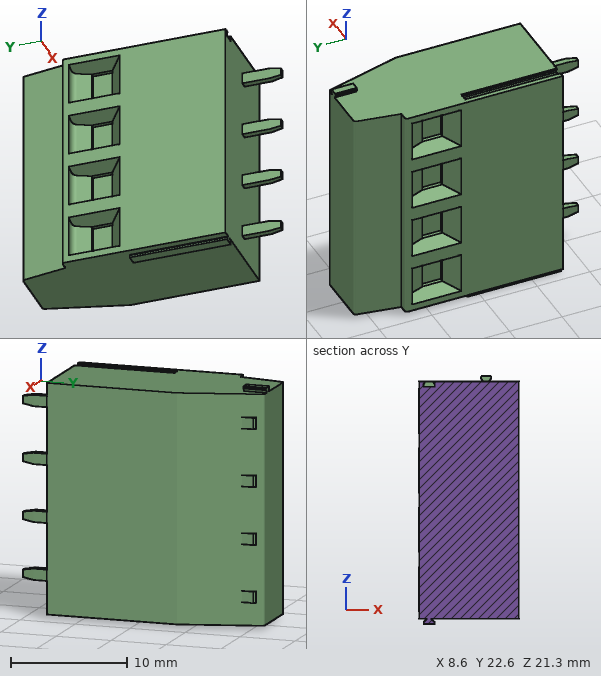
import cadquery as cq
import math


poles = 4
pitch = 5.1
housing_depth = 8.6
housing_length = 19.1
housing_height = poles * pitch
half_height = housing_height / 2

shoulder_y = 14.95
shoulder_depth = 0.87
neck_left_x = 1.55
neck_right_x = 6.65
slope_angle = 15.0
corner_radius = 0.25

pocket_start_y = 9.65
pocket_end_y = 14.32
pocket_height = 3.8
funnel_straight_depth = 0.55
funnel_corner_radius = 0.5
funnel_depth = 1.35
funnel_corner_reach = 0.365
funnel_side_taper = 0.53
recess_start_y = 10.82
recess_end_y = 12.72
recess_depth = 0.37

pin_x = 4.54
pin_width = 0.6
pin_height = 1.0
pin_straight = 2.5
pin_tip_length = 1.0
pin_tip_width = 0.45
pin_tip_height = 0.66

dovetail_height = 0.46
dovetail_lip = 0.2
dovetail_chamfer = 0.09
joint_x = 0.87
joint_width = 0.95
tongue_neck = 0.35
tongue_length = 8.9
groove_neck = 0.6
groove_length = 9.05
key_x = 5.77
key_width = 0.9
key_neck = 0.55
key_length = 2.05

nub_x = 7.15
nub_top_y = 18.45
nub_chamfer = 0.17
nub_height = 1.0


def pole_heights():
    """Z of the middle of every pole."""
    return [(i - (poles - 1) / 2) * pitch for i in range(poles)]


def slope_y(x):
    """Y of the sloping face at a given X."""
    return housing_length - (x - neck_right_x) / math.tan(math.radians(slope_angle))


def extrude_along_z(points, height, middle_z=0):
    """Prism with an XY outline, centred on middle_z."""
    start = cq.Workplane("XY", origin=(0, 0, middle_z - height / 2))
    return start.polyline(points).close().extrude(height)


def make_housing():
    outline = [
        (0, 0),
        (housing_depth, 0),
        (housing_depth, slope_y(housing_depth)),
        (neck_right_x, housing_length),
        (neck_left_x, housing_length),
        (shoulder_depth, shoulder_y),
        (0, shoulder_y),
    ]
    rounded_corners = cq.selectors.BoxSelector(
        (neck_left_x - corner_radius, housing_length - corner_radius, -half_height),
        (neck_right_x + corner_radius, housing_length + corner_radius, half_height),
    )
    housing = extrude_along_z(outline, housing_height)
    housing = housing.edges("|Z").edges(rounded_corners).fillet(corner_radius)
    return housing.edges("|Z and <X").edges(">Y").fillet(corner_radius)


def make_pocket(middle_z):
    funnel_outline = [
        (0, pocket_start_y),
        (0, pocket_end_y),
        (funnel_straight_depth + funnel_corner_reach, pocket_end_y),
        (funnel_depth, recess_end_y),
        (funnel_depth, recess_start_y),
    ]
    far_corner = cq.selectors.NearestToPointSelector((funnel_depth, pocket_end_y, 0))
    funnel = extrude_along_z(funnel_outline, pocket_height)
    funnel = funnel.edges("|Z").edges(far_corner).fillet(funnel_corner_radius)

    mouth = pocket_height / 2
    throat = mouth - funnel_side_taper
    side_taper = (
        cq.Workplane("XZ", origin=(0, pocket_end_y, 0))
        .polyline([(0, -mouth), (funnel_depth, -throat), (funnel_depth, throat), (0, mouth)])
        .close()
        .extrude(pocket_end_y - pocket_start_y)
    )
    recess = cq.Workplane("XY").box(
        funnel_depth + recess_depth, recess_end_y - recess_start_y, 2 * throat, centered=(False, False, True)
    ).translate((0, recess_start_y, 0))
    return funnel.intersect(side_taper).union(recess).translate((0, 0, middle_z))


def make_pin(middle_z):
    shank = (
        cq.Workplane("XZ", origin=(pin_x, 0, middle_z))
        .rect(pin_width, pin_height)
        .extrude(pin_straight)
    )
    return (
        shank.faces("<Y")
        .workplane()
        .rect(pin_width, pin_height)
        .workplane(offset=pin_tip_length)
        .rect(pin_tip_width, pin_tip_height)
        .loft(ruled=True)
    )


def make_dovetail(middle_x, neck_z, up, width, neck, start_y, length):
    """Dovetail bar along Y, widening from its neck in direction up (+1 or -1)."""
    lip_z = neck_z + up * (dovetail_height - dovetail_lip)
    end_z = neck_z + up * dovetail_height
    left = middle_x - width / 2
    right = middle_x + width / 2
    section = [
        (middle_x - neck / 2, neck_z),
        (left, lip_z),
        (left, end_z),
        (right, end_z),
        (right, lip_z),
        (middle_x + neck / 2, neck_z),
    ]
    return cq.Workplane("XZ", origin=(0, start_y, 0)).polyline(section).close().extrude(-length)


def make_groove():
    """Dovetail groove in the upper end of the housing, with a chamfered mouth."""
    groove = make_dovetail(joint_x, half_height, -1, joint_width, groove_neck, 0, groove_length)
    mouth_half = groove_neck / 2 + dovetail_chamfer
    mouth = (
        cq.Workplane("XZ")
        .polyline([
            (joint_x - mouth_half, half_height),
            (joint_x, half_height - mouth_half),
            (joint_x + mouth_half, half_height),
        ])
        .close()
        .extrude(-groove_length)
    )
    return groove.union(mouth)


def make_tongue():
    """Dovetail tongue under the lower end of the housing."""
    return make_dovetail(joint_x, -half_height, -1, joint_width, tongue_neck, 0, tongue_length)


def make_key():
    """Short dovetail key on the upper end of the housing, chamfered along its outer edges."""
    start_y = housing_length - key_length
    key = make_dovetail(key_x, half_height, 1, key_width, key_neck, start_y, key_length)
    return key.faces(">Z").edges("|Y").chamfer(dovetail_chamfer)


def make_nub(middle_z):
    top_left_x = neck_right_x + (housing_length - nub_top_y) * math.tan(math.radians(slope_angle))
    outline = [
        (top_left_x, nub_top_y),
        (nub_x - nub_chamfer, nub_top_y),
        (nub_x, nub_top_y - nub_chamfer),
        (nub_x, slope_y(nub_x)),
    ]
    return extrude_along_z(outline, nub_height, middle_z)


result = make_housing()
for pole_z in pole_heights():
    result = result.cut(make_pocket(pole_z))
    result = result.union(make_pin(pole_z)).union(make_nub(pole_z))

result = result.cut(make_groove()).union(make_tongue()).union(make_key())